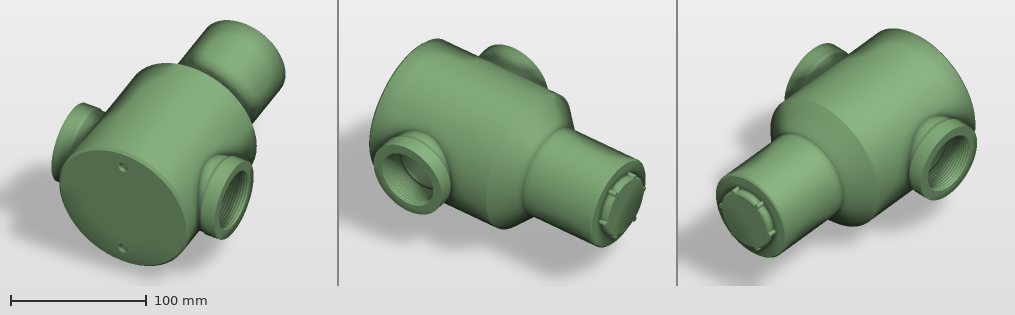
import cadquery as cq
total_length = 194.9
port_span = 136.5

body_diameter = 109.0
body_radius = body_diameter / 2
base_chamfer = 2.0
body_length = 86.0
rim_length = 21.2
neck_diameter = 71.0
neck_radius = neck_diameter / 2
cone_length = body_radius - neck_radius
knob_height = 6.2
bonnet_end = total_length - knob_height
neck_chamfer = 1.2

mount_hole_diameter = 8.0
mount_hole_offset = 40.0
mount_hole_depth = 11.7

knob_radius = 23.8
rib_radius = 2.0
rib_count = 6
knob_chamfer = 1.2

port_center = 46.0
port_face = port_span / 2
port_sides = (-1, 1)
ring_diameter = 61.5
ring_length = 11.3
ring_end = port_face - ring_length
collar_diameter = 61.0
ring_back_chamfer = 0.5
collar_length = 1.8
collar_start = ring_end - ring_back_chamfer
collar_end = collar_start - collar_length
port_neck_diameter = 59.2
port_bore_diameter = 41.3
fitting_seat = 19.5

thread_minor_radius = 44.8 / 2
thread_major_radius = 46.2 / 2
thread_pitch = 2.1
groove_count = 9
threaded_bore_depth = 21.0
threaded_bore_end = port_face - threaded_bore_depth


def revolve_about_y(points):
    """Solid of revolution about Y from (radius, Y) points."""
    return cq.Workplane("XY").polyline(points).close().revolve(360, (0, 0, 0), (0, 1, 0))


def revolve_about_port(points, side):
    """Solid of revolution about a port axis from (distance from main axis, radius) points."""
    placed = [(side * distance, port_center + radius) for distance, radius in points]
    axis_start = (0, port_center, 0)
    axis_end = (1, port_center, 0)
    return cq.Workplane("XY").polyline(placed).close().revolve(360, axis_start, axis_end)


def make_body():
    body = revolve_about_y([
        (0, 0),
        (body_radius - base_chamfer, 0),
        (body_radius, base_chamfer),
        (body_radius, body_length),
        (0, body_length),
    ])
    for side in port_sides:
        body = body.cut(revolve_about_port([
            (fitting_seat, 0),
            (fitting_seat, port_neck_diameter / 2),
            (port_face, port_neck_diameter / 2),
            (port_face, 0),
        ], side))
    mount_holes = (
        cq.Workplane("XZ")
        .pushPoints([(0, -mount_hole_offset), (0, mount_hole_offset)])
        .circle(mount_hole_diameter / 2)
        .extrude(-mount_hole_depth)
    )
    return body.cut(mount_holes)


def make_bonnet():
    rim_end = body_length + rim_length
    return revolve_about_y([
        (0, body_length),
        (body_radius, body_length),
        (body_radius, rim_end),
        (neck_radius, rim_end + cone_length),
        (neck_radius, bonnet_end - neck_chamfer),
        (neck_radius - neck_chamfer, bonnet_end),
        (0, bonnet_end),
    ])


def make_knob():
    base = cq.Workplane("XZ", origin=(0, bonnet_end, 0))
    disc = base.circle(knob_radius).extrude(-knob_height).faces(">Y").chamfer(knob_chamfer)
    ribs = (
        base.polarArray(knob_radius, 0, 360, rib_count)
        .circle(rib_radius)
        .extrude(-knob_height)
    )
    return disc.union(ribs)


def make_port_fitting(side):
    outer_profile = [
        (fitting_seat, port_bore_diameter / 2),
        (fitting_seat, port_neck_diameter / 2),
        (collar_end, port_neck_diameter / 2),
        (collar_start, collar_diameter / 2),
        (ring_end, ring_diameter / 2),
        (port_face, ring_diameter / 2),
    ]
    thread_profile = [(port_face, thread_major_radius)]
    for groove in range(groove_count):
        groove_start = port_face - groove * thread_pitch
        thread_profile.append((groove_start - thread_pitch / 2, thread_minor_radius))
        thread_profile.append((groove_start - thread_pitch, thread_major_radius))
    bore_profile = [
        (threaded_bore_end, thread_major_radius),
        (threaded_bore_end, port_bore_diameter / 2),
    ]
    return revolve_about_port(outer_profile + thread_profile + bore_profile, side)


body = make_body()
bonnet = make_bonnet()
knob = make_knob()
port_fittings = [make_port_fitting(side) for side in port_sides]

result = cq.Compound.makeCompound([
    body.val(),
    bonnet.val(),
    knob.val(),
    *[fitting.val() for fitting in port_fittings],
])